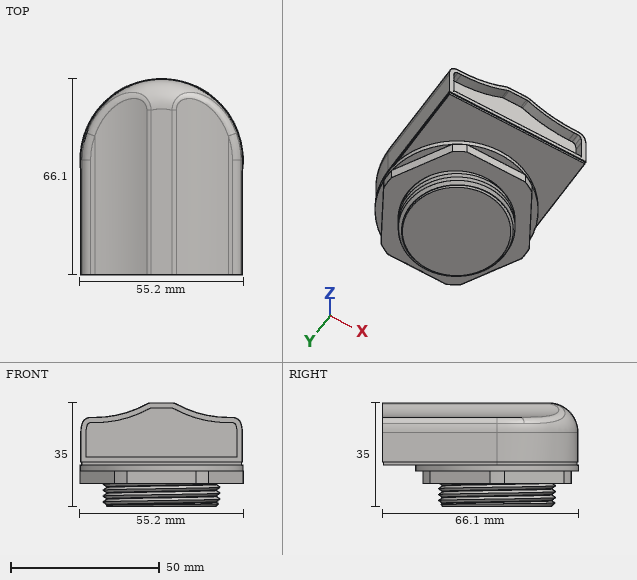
import cadquery as cq
import math

nut_bottom = 7.75
flange_bottom = 12.0
flange_top = 14.0
hood_bottom = 15.0
hood_top = 35.0

hood_radius = 27.25
hood_front = -38.63
hood_edge_radius = 10.0
skirt_inset = 0.3

ridge_half_width = 4.3
hollow_floor = 30.1
hollow_floor_start = 22.5
hollow_blend_radius = 3.0

wall = 1.8
recess_depth = 3.5

flange_radius = 27.5
nut_sides = 6
nut_turn = 180.0 / nut_sides
nut_across_flats = 50.0
nut_corner_radius = 27.575

thread_crest_radius = 19.75
thread_root_radius = 18.55
thread_tip_radius = 18.25
thread_pitch = 2.0
thread_crest_height = 0.57
thread_root_land = 0.1
ridge_sink = 0.1
crest_clearance = 0.1

tolerance = 0.001


def d_shaped_prism(radius, front, bottom, top):
    """Upright prism whose plan is a rectangle ending in a half circle at +Y."""
    return (
        cq.Workplane("XY", origin=(0, 0, bottom))
        .moveTo(-radius, front)
        .lineTo(radius, front)
        .lineTo(radius, 0)
        .threePointArc((0, radius), (-radius, 0))
        .close()
        .extrude(top - bottom)
    )


def cylinder(radius, bottom, top):
    """Upright cylinder on the Z axis."""
    return cq.Workplane("XY", origin=(0, 0, bottom)).circle(radius).extrude(top - bottom)


def hollow_cutter():
    """Prism along Y above the +X hollow: an arc down from the ridge, then a flat."""
    run = hollow_floor_start - ridge_half_width
    drop = hood_top - hollow_floor
    arc_radius = (run**2 + drop**2) / (2 * drop)
    middle_x = ridge_half_width + run / 2
    middle_z = hollow_floor + arc_radius - math.sqrt(arc_radius**2 - (run / 2) ** 2)
    return (
        cq.Workplane("XZ", origin=(0, hood_front, 0))
        .moveTo(ridge_half_width, hood_top)
        .threePointArc((middle_x, middle_z), (hollow_floor_start, hollow_floor))
        .lineTo(hood_radius, hollow_floor)
        .lineTo(hood_radius, hood_top)
        .close()
        .extrude(hood_front - hood_radius)
    )


def is_hollow_rim(edge):
    """True for the edges where a hollow meets the ridge, the sides or the dome."""
    box = edge.BoundingBox()
    above_floor = box.zmin > hollow_floor - tolerance
    on_front = box.ymax < hood_front + tolerance
    on_ridge_end = box.xmin < 0 < box.xmax
    inside_hollow = box.xlen < tolerance and abs(abs(box.xmin) - hollow_floor_start) < tolerance
    return above_floor and not (on_front or on_ridge_end or inside_hollow)


def make_hood():
    """D-shaped hood with a rounded rim, two hollows and a shallow recess in its open end."""
    hood = d_shaped_prism(hood_radius, hood_front, hood_bottom, hood_top)
    hood = hood.faces(">Z").edges("not <Y").fillet(hood_edge_radius)
    cutter = hollow_cutter()
    hood = hood.cut(cutter).cut(cutter.mirror("YZ"))
    hood = hood.edges().filter(is_hollow_rim).fillet(hollow_blend_radius)
    outline = hood.faces("<Y").wires().val()
    recess_outline = outline.offset2D(-wall)[0]
    recess = cq.Solid.extrudeLinear(recess_outline, [], cq.Vector(0, recess_depth, 0))
    return hood.cut(cq.Workplane(recess))


def make_skirt():
    """Slightly inset strip under the hood."""
    return d_shaped_prism(
        hood_radius - skirt_inset, hood_front + skirt_inset, flange_top, hood_bottom
    )


def make_nut():
    """Hexagon with flats facing -Y and +Y and its corners turned off round."""
    hexagon = (
        cq.Workplane("XY", origin=(0, 0, nut_bottom))
        .transformed(rotate=(0, 0, nut_turn))
        .polygon(nut_sides, nut_across_flats, circumscribed=True)
        .extrude(flange_bottom - nut_bottom)
    )
    return hexagon.intersect(cylinder(nut_corner_radius, nut_bottom, flange_bottom))


def make_thread():
    """Threaded spigot, chamfered at its lower end and rooted in the nut."""
    half_base = (thread_pitch - thread_root_land) / 2
    helix_bottom = thread_crest_height - 2 * thread_pitch
    helix_height = nut_bottom + 2 * thread_pitch - helix_bottom
    helix = cq.Wire.makeHelix(thread_pitch, helix_height, thread_root_radius)
    ridge = (
        cq.Workplane("XZ")
        .moveTo(thread_root_radius - ridge_sink, -half_base)
        .lineTo(thread_root_radius - ridge_sink, half_base)
        .lineTo(thread_crest_radius, 0)
        .close()
        .sweep(cq.Workplane(helix), isFrenet=True)
        .translate((0, 0, helix_bottom))
    )
    envelope_radius = thread_crest_radius + crest_clearance
    envelope = cylinder(envelope_radius, 0, nut_bottom + thread_pitch)
    envelope = envelope.faces("<Z").chamfer(envelope_radius - thread_tip_radius)
    core_bottom = helix_bottom - thread_pitch
    core_top = helix_bottom + helix_height + thread_pitch
    core = cylinder(thread_root_radius, core_bottom, core_top)
    return core.union(ridge).intersect(envelope)


flange = cylinder(flange_radius, flange_bottom, flange_top)
result = make_hood().union(make_skirt()).union(flange).union(make_nut()).union(make_thread())